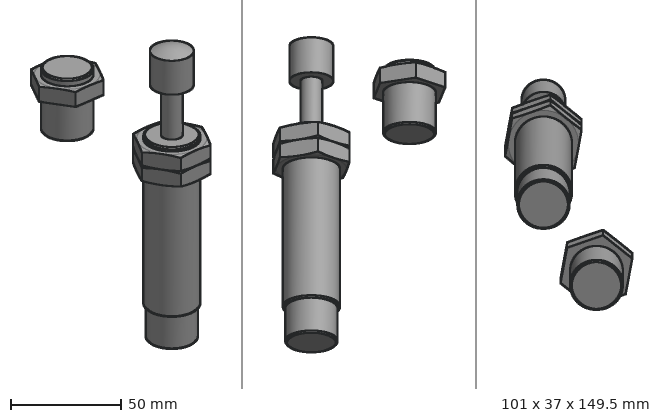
import cadquery as cq
import math

overall_height = 149.5
damper_thread_dia = 26.0
damper_minor_dia = 24.38
damper_tail_dia = 23.8
damper_tail_length = 17.0
damper_height = 103.92
tail_chamfer = 0.8
rod_dia = 10.0
bumper_dia = 20.0
bumper_length = 20.0
dome_height = 2.65

lock_nut_flats = 32.0
lock_nut_height = 8.0
lock_nut_count = 2
lock_nut_bevel_angle = math.radians(15)
lock_nuts_top = 102.0

stop_x = -70.0
stop_thread_dia = 24.0
stop_minor_dia = 22.38
stop_length = 32.0
stop_top = 111.5
stop_nut_flats = 30.0
stop_nut_height = 8.0
stop_stud_protrusion = 3.5
stop_nut_top = stop_top - stop_stud_protrusion
stop_nut_bevel_angle = math.radians(10)

bevel_inset = 0.1


def build_damper():
    """Turned body with its piston rod and domed bumper, as one revolved profile."""
    thread_radius = damper_thread_dia / 2
    minor_radius = damper_minor_dia / 2
    thread_chamfer = thread_radius - minor_radius
    tail_radius = damper_tail_dia / 2
    rod_radius = rod_dia / 2
    bumper_radius = bumper_dia / 2
    bumper_bottom = overall_height - bumper_length
    dome_base = overall_height - dome_height
    dome_radius = (bumper_radius**2 + dome_height**2) / (2 * dome_height)
    half_angle = math.asin(bumper_radius / dome_radius) / 2
    dome_middle = (
        dome_radius * math.sin(half_angle),
        overall_height - dome_radius * (1 - math.cos(half_angle)),
    )
    return (
        cq.Workplane("XZ")
        .moveTo(0, 0)
        .lineTo(tail_radius - tail_chamfer, 0)
        .lineTo(tail_radius, tail_chamfer)
        .lineTo(tail_radius, damper_tail_length)
        .lineTo(minor_radius, damper_tail_length)
        .lineTo(thread_radius, damper_tail_length + thread_chamfer)
        .lineTo(thread_radius, damper_height - thread_chamfer)
        .lineTo(minor_radius, damper_height)
        .lineTo(rod_radius, damper_height)
        .lineTo(rod_radius, bumper_bottom)
        .lineTo(bumper_radius, bumper_bottom)
        .lineTo(bumper_radius, dome_base)
        .threePointArc(dome_middle, (0, overall_height))
        .close()
        .revolve(360, (0, 0), (0, 1))
    )


def build_hex_nut(flats, height, bore_dia, bevel_angle, bevel_bottom):
    """Hexagon nut standing on Z = 0, flats facing +X and -X, corners bevelled."""
    corner_radius = flats / math.sqrt(3)
    face_radius = flats / 2 - bevel_inset
    bevel_drop = (corner_radius - face_radius) * math.tan(bevel_angle)
    outline = [(0, 0)]
    if bevel_bottom:
        outline += [(face_radius, 0), (corner_radius, bevel_drop)]
    else:
        outline.append((corner_radius, 0))
    outline += [(corner_radius, height - bevel_drop), (face_radius, height), (0, height)]
    envelope = cq.Workplane("XZ").polyline(outline).close().revolve(360, (0, 0), (0, 1))
    return (
        cq.Workplane("XY")
        .polygon(6, 2 * corner_radius)
        .extrude(height)
        .rotate((0, 0, 0), (0, 0, 1), 30)
        .intersect(envelope)
        .cut(cq.Workplane("XY").circle(bore_dia / 2).extrude(height))
    )


def build_stop_stud():
    """Plain stud chamfered to the thread root at both ends."""
    return (
        cq.Workplane("XY")
        .circle(stop_thread_dia / 2)
        .extrude(stop_length)
        .faces("<Z or >Z")
        .chamfer((stop_thread_dia - stop_minor_dia) / 2)
        .translate((stop_x, 0, stop_top - stop_length))
    )


def build_lock_nut(index):
    """Lock nut bevelled on both faces, counted downwards from the top one."""
    nut = build_hex_nut(
        lock_nut_flats, lock_nut_height, damper_thread_dia, lock_nut_bevel_angle, bevel_bottom=True
    )
    return nut.translate((0, 0, lock_nuts_top - (index + 1) * lock_nut_height))


def build_stop_nut():
    """Nut of the stop stud, bevelled on its upper face only."""
    nut = build_hex_nut(
        stop_nut_flats, stop_nut_height, stop_thread_dia, stop_nut_bevel_angle, bevel_bottom=False
    )
    return nut.translate((stop_x, 0, stop_nut_top - stop_nut_height))


damper = build_damper()
lock_nuts = [build_lock_nut(index).val() for index in range(lock_nut_count)]
stop_stud = build_stop_stud()
stop_nut = build_stop_nut()

result = cq.Compound.makeCompound([damper.val(), *lock_nuts, stop_stud.val(), stop_nut.val()])